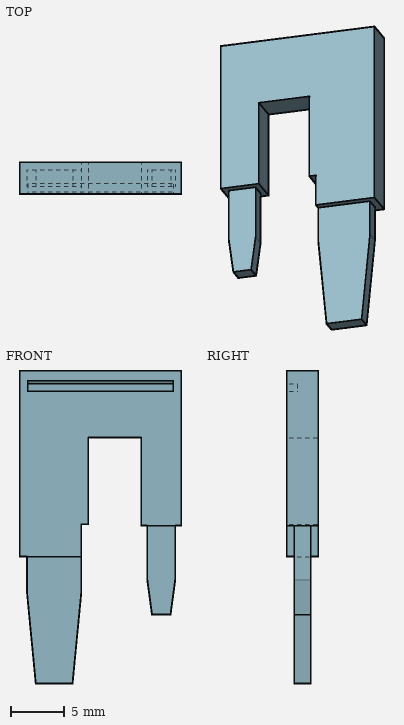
import cadquery as cq

width = 15.12
thickness = 3.0
height = 29.3
long_side_height = 17.4
short_side_height = 14.5
notch_left = 6.42
notch_right = 11.37
notch_depth = 6.27
step_x = 5.77
step_depth = 14.4

prong_thickness = 1.55
wide_prong_left = 0.67
wide_prong_straight = 3.37
wide_prong_inset = 0.82
narrow_prong_left = 11.93
narrow_prong_right = 14.55
narrow_prong_straight = 5.07
narrow_prong_inset = 0.45
narrow_prong_tip_depth = 22.82

slot_margin = 0.73
slot_top_depth = 0.95
slot_height = 1.0
slot_depth = 1.0
slot_slope_drop = 0.32
slot_slope_depth = 0.2


def make_body():
    """Body with two legs of unequal length; its front face lies at Y = 0."""
    outline = [
        (0, height),
        (width, height),
        (width, height - short_side_height),
        (notch_right, height - short_side_height),
        (notch_right, height - notch_depth),
        (notch_left, height - notch_depth),
        (notch_left, height - step_depth),
        (step_x, height - step_depth),
        (step_x, height - long_side_height),
        (0, height - long_side_height),
    ]
    return cq.Workplane("XZ").polyline(outline).close().extrude(-thickness)


def make_prong(left, right, top, straight, bottom, inset):
    """Flat prong, centred in the body thickness, tapering on both sides to its tip."""
    outline = [
        (left, top),
        (right, top),
        (right, top - straight),
        (right - inset, bottom),
        (left + inset, bottom),
        (left, top - straight),
    ]
    front = (thickness - prong_thickness) / 2
    return (
        cq.Workplane("XZ", origin=(0, front, 0))
        .polyline(outline)
        .close()
        .extrude(-prong_thickness)
    )


def make_slot():
    """Long slot with a level floor and a bevelled front edge on its ceiling."""
    top = height - slot_top_depth
    bottom = top - slot_height
    section = [
        (0, bottom),
        (slot_depth, bottom),
        (slot_depth, top - slot_slope_drop),
        (slot_slope_depth, top - slot_slope_drop),
        (0, top),
    ]
    return (
        cq.Workplane("YZ", origin=(slot_margin, 0, 0))
        .polyline(section)
        .close()
        .extrude(width - 2 * slot_margin)
    )


wide_prong = make_prong(
    wide_prong_left, step_x, height - long_side_height,
    wide_prong_straight, 0, wide_prong_inset,
)
narrow_prong = make_prong(
    narrow_prong_left, narrow_prong_right, height - short_side_height,
    narrow_prong_straight, height - narrow_prong_tip_depth, narrow_prong_inset,
)
result = make_body().union(wide_prong).union(narrow_prong).cut(make_slot())